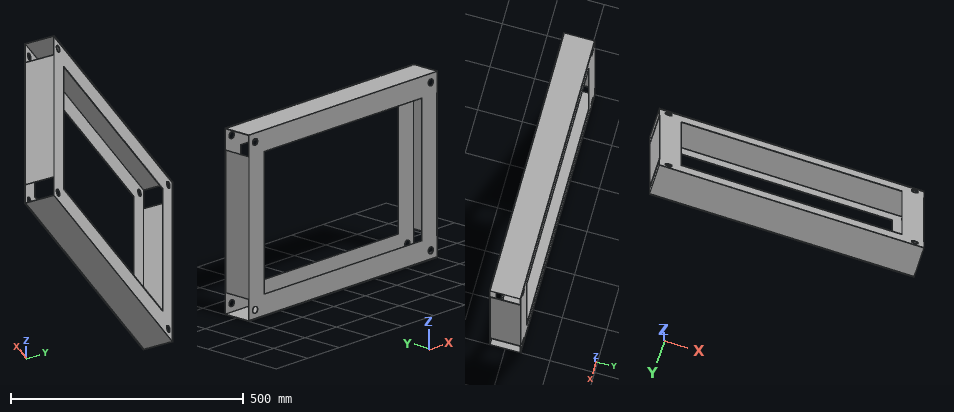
import cadquery as cq

length = 600.0
depth = 70.0
height = 423.0
sheet = 1.5

flange_width = 50.0
opening_length = length - 2 * flange_width
opening_height = height - 2 * flange_width

hole_diameter = 15.5
hole_inset = 21.0


def centred_box(x_size, y_size, z_size):
    return cq.Workplane("XY").box(x_size, y_size, z_size)


def sheet_shell():
    """Closed thin-walled box."""
    cavity = centred_box(length - 2 * sheet, depth - 2 * sheet, height - 2 * sheet)
    return centred_box(length, depth, height).cut(cavity)


def central_opening():
    """Window through the front and back faces."""
    return centred_box(opening_length, depth, opening_height)


def end_window(side):
    """Pair of cutters that open one end wall above and below its middle."""
    window_height = flange_width - sheet
    window = centred_box(2 * sheet, depth - 2 * sheet, window_height)
    z_offset = (opening_height + window_height) / 2
    x_offset = side * length / 2
    upper = window.translate((x_offset, 0, z_offset))
    lower = window.translate((x_offset, 0, -z_offset))
    return upper.union(lower)


def corner_holes():
    """Holes along Y through both faces."""
    return (
        cq.Workplane("XZ")
        .rect(length - 2 * hole_inset, height - 2 * hole_inset, forConstruction=True)
        .vertices()
        .circle(hole_diameter / 2)
        .extrude(depth, both=True)
    )


result = sheet_shell().cut(central_opening()).cut(corner_holes())
for end_side in (-1, 1):
    result = result.cut(end_window(end_side))